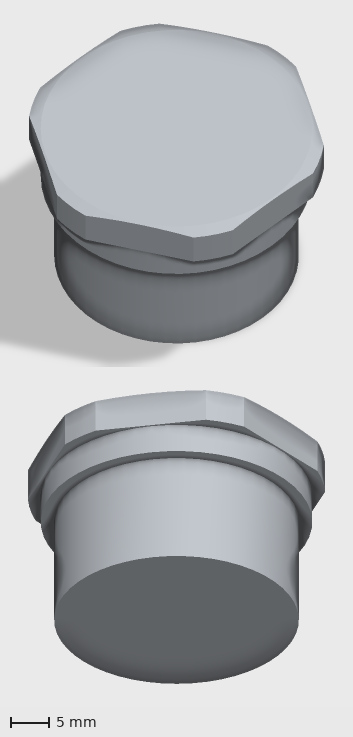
import cadquery as cq
import math

total_height = 24.0
shank_diameter = 32.0
shank_height = 15.0
collar_diameter = 35.5
collar_height = 4.0
across_flats = 36.0
corner_diameter = 38.88
top_face_diameter = 35.5
chamfer_angle = 15.0

head_base = shank_height + collar_height
head_height = total_height - head_base
corner_radius = corner_diameter / 2
top_face_radius = top_face_diameter / 2
chamfer_drop = (corner_radius - top_face_radius) * math.tan(math.radians(chamfer_angle))
hexagon_diameter = across_flats / math.cos(math.radians(30))


def make_stem():
    """Round shank with a wider collar on top."""
    return (
        cq.Workplane("XY")
        .circle(shank_diameter / 2)
        .extrude(shank_height)
        .faces(">Z")
        .workplane()
        .circle(collar_diameter / 2)
        .extrude(collar_height)
    )


def make_head():
    """Hexagon with flats facing X, trimmed by a turned, conically chamfered blank."""
    hexagon = (
        cq.Workplane("XY")
        .workplane(offset=head_base)
        .transformed(rotate=(0, 0, 90))
        .polygon(6, hexagon_diameter)
        .extrude(head_height)
    )
    turned_blank = (
        cq.Workplane("XZ")
        .moveTo(0, head_base)
        .lineTo(corner_radius, head_base)
        .lineTo(corner_radius, total_height - chamfer_drop)
        .lineTo(top_face_radius, total_height)
        .lineTo(0, total_height)
        .close()
        .revolve(360, (0, 0, 0), (0, 1, 0))
    )
    return hexagon.intersect(turned_blank)


result = make_stem().union(make_head())